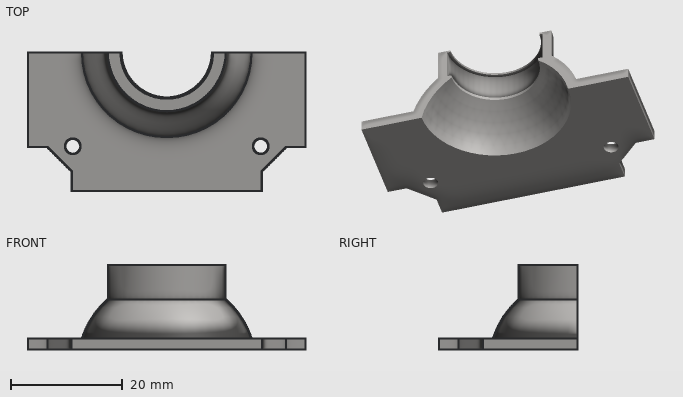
import cadquery as cq
import math

plate_half_width = 24.9
plate_depth = 24.9
plate_thickness = 2.0
tongue_half_width = 17.05
shoulder_y = -17.0
corner_chamfer = 4.35

hole_diameter = 2.7
hole_x = 16.85
hole_y = -16.85

dome_radius = 16.0
dome_wall = 2.0
dome_center_z = -3.0
cavity_radius = dome_radius - dome_wall

total_height = 15.18
groove_bottom_z = 9.0
collar_radius = 10.57
groove_radius = 8.9
top_lip_radius = 8.3
top_lip_thickness = 0.4
bottom_lip_radius = 8.1


def sphere_section_radius(radius, z):
    """Radius of the dome-centred sphere where it is cut at height z."""
    return math.sqrt(radius**2 - (z - dome_center_z) ** 2)


def sphere_section_z(radius, section_radius):
    """Height at which the dome-centred sphere has the given section radius."""
    return dome_center_z + math.sqrt(radius**2 - section_radius**2)


def arc_middle(radius, start, end):
    """Point on the dome-centred sphere halfway in height between two points."""
    z = (start[1] + end[1]) / 2
    return (sphere_section_radius(radius, z), z)


def half_revolve(profile):
    """Sweep an XZ profile around Z through the y <= 0 half."""
    return profile.close().revolve(180, (0, 0, 0), (0, -1, 0))


def make_plate():
    chamfer_x = tongue_half_width + corner_chamfer
    chamfer_y = shoulder_y - corner_chamfer
    right_edge = [
        (plate_half_width, 0),
        (plate_half_width, shoulder_y),
        (chamfer_x, shoulder_y),
        (tongue_half_width, chamfer_y),
        (tongue_half_width, -plate_depth),
    ]
    left_edge = [(-x, y) for x, y in reversed(right_edge)]
    plate = cq.Workplane("XY").polyline(right_edge + left_edge).close().extrude(plate_thickness)
    holes = (
        cq.Workplane("XY")
        .pushPoints([(-hole_x, hole_y), (hole_x, hole_y)])
        .circle(hole_diameter / 2)
        .extrude(plate_thickness)
    )
    return plate.cut(holes)


def make_outer_body():
    foot = (sphere_section_radius(dome_radius, 0), 0)
    shoulder = (collar_radius, sphere_section_z(dome_radius, collar_radius))
    profile = (
        cq.Workplane("XZ")
        .lineTo(*foot)
        .threePointArc(arc_middle(dome_radius, foot, shoulder), shoulder)
        .lineTo(collar_radius, total_height)
        .lineTo(0, total_height)
    )
    return half_revolve(profile)


def make_cavity():
    foot = (sphere_section_radius(cavity_radius, 0), 0)
    throat = (bottom_lip_radius, sphere_section_z(cavity_radius, bottom_lip_radius))
    groove_top_z = total_height - top_lip_thickness
    profile = (
        cq.Workplane("XZ")
        .lineTo(*foot)
        .threePointArc(arc_middle(cavity_radius, foot, throat), throat)
        .lineTo(bottom_lip_radius, groove_bottom_z)
        .lineTo(groove_radius, groove_bottom_z)
        .lineTo(groove_radius, groove_top_z)
        .lineTo(top_lip_radius, groove_top_z)
        .lineTo(top_lip_radius, total_height)
        .lineTo(0, total_height)
    )
    return half_revolve(profile)


result = make_plate().union(make_outer_body()).cut(make_cavity())